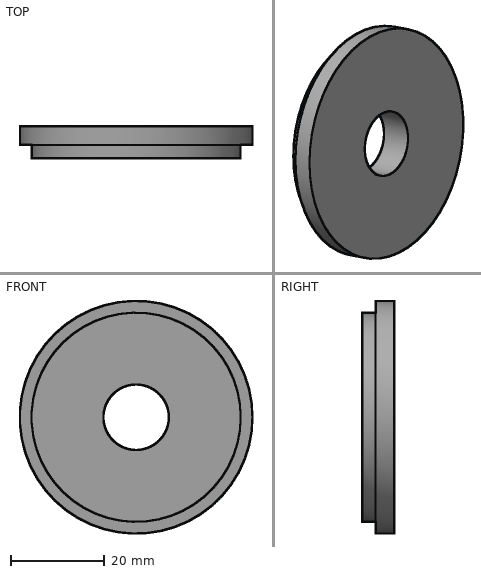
import cadquery as cq

flange_diameter = 50.0
step_diameter = 44.9
bore_diameter = 14.0
total_thickness = 6.9
flange_thickness = 4.0
step_thickness = total_thickness - flange_thickness


def disc(diameter, thickness, front_y):
    """Solid disc about the Y axis, running from front_y toward +Y."""
    plane = cq.Workplane("XZ", origin=(0, front_y, 0))
    return plane.circle(diameter / 2).extrude(-thickness)


flange = disc(flange_diameter, flange_thickness, 0)
step = disc(step_diameter, step_thickness, -step_thickness)

bore = disc(bore_diameter, total_thickness, -step_thickness)

result = flange.union(step).cut(bore)